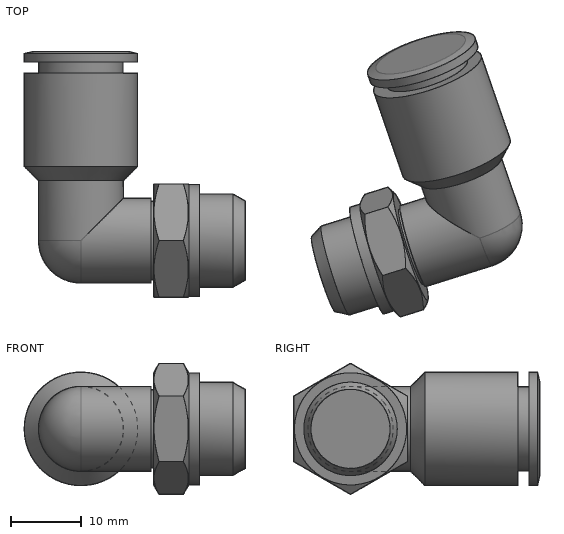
import cadquery as cq
import math

pipe_radius = 6.0

cone_start = 8.45
sleeve_start = 10.48
sleeve_end = 23.6
collar_start = 25.15
collar_edge = 26.37
push_end = 26.7
sleeve_radius = 8.0
neck_radius = 5.97
collar_face_radius = 6.65

pipe_end = 9.9
nut_start = 10.25
nut_end = 15.2
flange_end = 16.73
thread_chamfer_start = 21.4
thread_end = 23.18
groove_radius = 5.55
flange_radius = 7.9
thread_radius = 6.6
thread_tip_radius = 5.6

nut_corner_diameter = 18.5
nut_face_radius = 7.9
nut_chamfer_angle = 30


def revolved_leg(profile):
    """Revolve (position, radius) steps about X, starting at the elbow centre."""
    outline = [(0, 0)] + profile + [(profile[-1][0], 0)]
    return cq.Workplane("XY").polyline(outline).close().revolve(360, (0, 0, 0), (1, 0, 0))


def push_in_leg():
    leg = revolved_leg([
        (0, pipe_radius),
        (cone_start, pipe_radius),
        (sleeve_start, sleeve_radius),
        (sleeve_end, sleeve_radius),
        (sleeve_end, neck_radius),
        (collar_start, neck_radius),
        (collar_start, sleeve_radius),
        (collar_edge, sleeve_radius),
        (push_end, collar_face_radius),
    ])
    return leg.rotate((0, 0, 0), (0, 0, 1), 90)


def threaded_leg():
    return revolved_leg([
        (0, pipe_radius),
        (pipe_end, pipe_radius),
        (pipe_end, groove_radius),
        (nut_end, groove_radius),
        (nut_end, flange_radius),
        (flange_end, flange_radius),
        (flange_end, thread_radius),
        (thread_chamfer_start, thread_radius),
        (thread_end, thread_tip_radius),
    ])


def nut():
    corner_radius = nut_corner_diameter / 2
    chamfer_depth = (corner_radius - nut_face_radius) * math.tan(math.radians(nut_chamfer_angle))
    hexagon = (
        cq.Workplane("YZ", origin=(nut_start, 0, 0))
        .transformed(rotate=(0, 0, 90))
        .polygon(6, nut_corner_diameter)
        .extrude(nut_end - nut_start)
    )
    barrel = (
        cq.Workplane("XY")
        .polyline([
            (nut_start, 0),
            (nut_start, nut_face_radius),
            (nut_start + chamfer_depth, corner_radius),
            (nut_end - chamfer_depth, corner_radius),
            (nut_end, nut_face_radius),
            (nut_end, 0),
        ])
        .close()
        .revolve(360, (0, 0, 0), (1, 0, 0))
    )
    return hexagon.intersect(barrel)


elbow = cq.Workplane("XY").sphere(pipe_radius)
result = push_in_leg().union(threaded_leg()).union(elbow).union(nut())